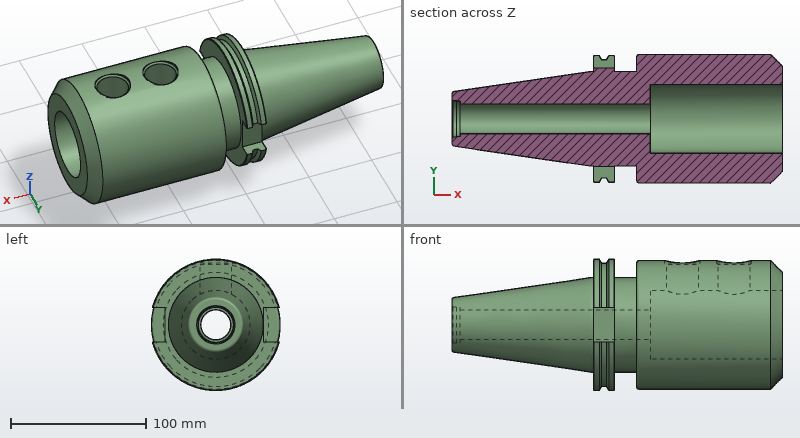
import cadquery as cq
import math

total_length = 244.4
taper_length = 102.6
flange_start = 104.5
flange_end = 120.2
body_start = 136.4

gauge_diameter = 70.1
taper_ratio = 7 / 24
small_end_diameter = gauge_diameter - taper_length * taper_ratio
small_end_round = 2.0

flange_diameter = 97.3
flange_edge_chamfer = 0.5
groove_center = 112.5
groove_floor_width = 3.7
groove_depth = 3.0
groove_wall_angle = 30.0

slot_width = 25.7
slot_floor_plus_y = 37.6
slot_floor_minus_y = 35.2

neck_diameter = 70.1
body_diameter = 95.3
body_back_round = 2.2
body_front_chamfer = 8.8

through_diameter = 22.0
stud_pilot_diameter = 26.6
stud_pilot_depth = 3.5
stud_diameter = 26.0
stud_mouth_diameter = 28.3
stud_mouth_depth = 1.0
stud_depth = 6.0
tool_bore_diameter = 50.8
tool_bore_start = 146.5

screw_positions = (170.3, 208.5)
screw_diameter = 23.5
screw_mouth_diameter = 26.1


def turned(start, end, diameter):
    """Cylinder along X between two axial positions."""
    return cq.Workplane("YZ", origin=(start, 0, 0)).circle(diameter / 2).extrude(end - start)


def revolved(points):
    """Solid of revolution about X from (axial position, radius) points."""
    return cq.Workplane("XY").polyline(points).close().revolve(360, (0, 0, 0), (1, 0, 0))


def make_shank():
    gauge_radius = gauge_diameter / 2
    shank = revolved([
        (0, 0),
        (0, small_end_diameter / 2),
        (taper_length, gauge_radius),
        (flange_start, gauge_radius),
        (flange_start, 0),
    ])
    return shank.faces("<X").edges().fillet(small_end_round)


def make_flange():
    flange = turned(flange_start, flange_end, flange_diameter)
    flange = flange.edges().chamfer(flange_edge_chamfer)
    rim = flange_diameter / 2
    floor_half = groove_floor_width / 2
    mouth_half = floor_half + groove_depth * math.tan(math.radians(groove_wall_angle))
    groove = revolved([
        (groove_center - mouth_half, rim),
        (groove_center - floor_half, rim - groove_depth),
        (groove_center + floor_half, rim - groove_depth),
        (groove_center + mouth_half, rim),
    ])
    flange = flange.cut(groove)
    for side, floor in ((1, slot_floor_plus_y), (-1, slot_floor_minus_y)):
        slot = cq.Workplane("XY").box(flange_end - flange_start, rim, slot_width)
        slot_center = ((flange_start + flange_end) / 2, side * (floor + rim / 2), 0)
        flange = flange.cut(slot.translate(slot_center))
    return flange


def make_body():
    body = turned(body_start, total_length, body_diameter)
    body = body.faces("<X").edges().fillet(body_back_round)
    return body.faces(">X").edges().chamfer(body_front_chamfer)


def make_axial_bores():
    pilot_radius = stud_pilot_diameter / 2
    stud_radius = stud_diameter / 2
    stud_recess = revolved([
        (0, 0),
        (0, stud_mouth_diameter / 2),
        (stud_mouth_depth, pilot_radius),
        (stud_pilot_depth, pilot_radius),
        (stud_pilot_depth, stud_radius),
        (stud_depth, stud_radius),
        (stud_depth, 0),
    ])
    through_bore = turned(0, total_length, through_diameter)
    tool_bore = turned(tool_bore_start, total_length, tool_bore_diameter)
    return stud_recess.union(through_bore).union(tool_bore)


def make_screw_hole(position):
    """Radial hole from the axis to the top, with a 45 degree countersunk mouth."""
    body_radius = body_diameter / 2
    hole_radius = screw_diameter / 2
    mouth_radius = screw_mouth_diameter / 2
    mouth_height = math.sqrt(body_radius**2 - mouth_radius**2)
    profile = [
        (0, 0),
        (hole_radius, 0),
        (hole_radius, mouth_height - (mouth_radius - hole_radius)),
        (mouth_radius, mouth_height),
        (mouth_radius, body_radius),
        (0, body_radius),
    ]
    hole = cq.Workplane("XZ").polyline(profile).close().revolve(360, (0, 0, 0), (0, 1, 0))
    return hole.translate((position, 0, 0))


neck = turned(flange_start, body_start, neck_diameter)
result = make_shank().union(neck).union(make_flange()).union(make_body())
result = result.cut(make_axial_bores())
for screw_position in screw_positions:
    result = result.cut(make_screw_hole(screw_position))